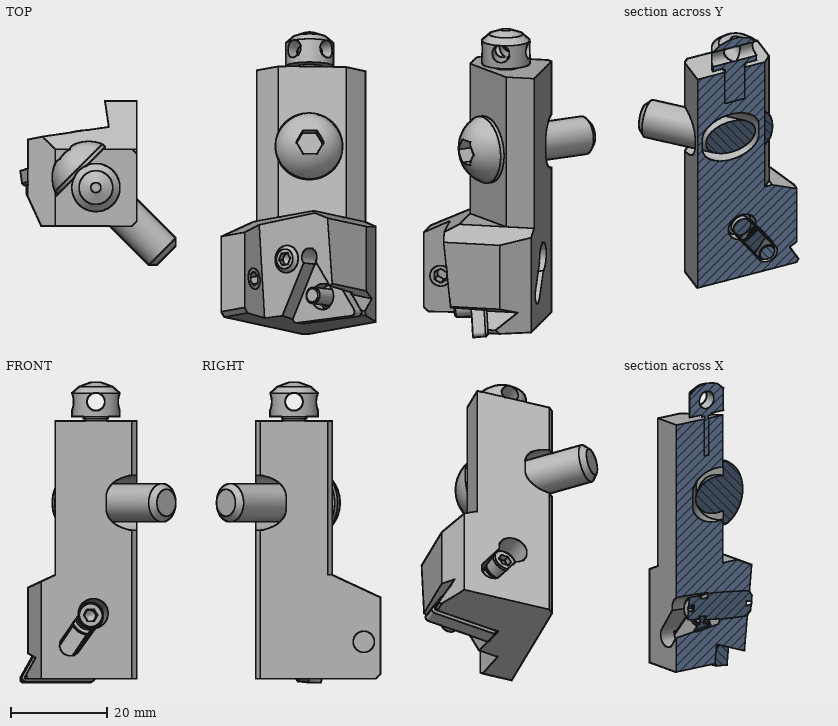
import cadquery as cq
import math


shank_width = 17.0
shank_depth = 16.0
holder_height = 53.6
edge_chamfer = 1.0
shank_flat_start = 6.0
head_height = 21.6
head_slope = 25.0
head_left = -5.65
head_back = 26.0
bevel_front_x = -2.88
bevel_side_y = 6.05
overcut = 30.0

side_rake = 8.7
back_rake = 6.0
tip_corner = (-7.82, 11.26, -0.85)
chip_face_height = 4.25
flange_root = (11.18, 20.56)

inscribed_diameter = 9.525
insert_side = inscribed_diameter * math.sqrt(3)
insert_thickness = 3.18
insert_nose_radius = 0.8
insert_edge_chamfer = 0.5
insert_hole_diameter = 5.4
relief_diameter = 3.7
relief_height = 12.8

notch_top_z = 5.3
notch_root = (-4.05, 4.38)
toe_tip = (-6.02, 0.85)
toe_foot_x = -5.65

insert_center = (insert_side / 2, inscribed_diameter / 2)
bore_center = (13.89, 12.96)
slot_end = (9.18, 6.47)
slot_width = 4.37
bore_diameter = 6.1
lever_width = 4.0
lever_back = 6.0
lever_front = 9.0
tongue_back = 7.0
tongue_front = 8.2
lever_clearance_radius = 3.6
lever_chamfer = 0.3
pin_diameter = 3.4
pin_height = 3.95
pin_chamfer = 0.3
lever_screw_front = 11.5
lever_screw_back = -5.0
lever_screw_thread_diameter = 5.7
lever_screw_head_diameter = 5.4
lever_screw_head_back = 8.4
lever_screw_thread_front = 6.8
lever_screw_neck_diameter = 4.0
lever_screw_chamfer = 0.3
lever_screw_socket = 2.45
lever_screw_socket_depth = 1.3
lever_screw_end_chamfer = 0.8
drill_point_depth = 0.7

bolt_z = 36.6
bolt_diameter = 8.0
bolt_reach = 8.7
bolt_chamfer = 1.2
bolt_head_diameter = 14.0
bolt_head_rim = 0.85
bolt_head_height = 5.1
bolt_head_flat_radius = 2.4
bolt_socket = 5.0
bolt_socket_depth = 3.3
bolt_slot_width = 9.0
bolt_slot_height = 11.5

knob_center = (8.5, 8.0)
knob_radius = 5.0
knob_bottom = 54.5
knob_rim = 59.4
knob_cone_top = 60.75
knob_cone_radius = 3.5
knob_top = 61.66
knob_top_radius = 1.05
knob_neck_radius = 2.3
knob_collar_radius = 2.6
knob_collar_length = 0.4
knob_stem_depth = 8.0
cross_hole_diameter = 3.65
cross_hole_z = 57.6

set_screw_y = 22.5
set_screw_z = 7.7
set_screw_diameter = 4.4
set_screw_socket = 2.6
set_screw_socket_bottom = 14.0

side_rake_slope = math.tan(math.radians(side_rake))
back_rake_slope = math.tan(math.radians(back_rake))
inward = (side_rake_slope, -1.0, back_rake_slope)
along_edge = (1.0, side_rake_slope, 0.0)

depth_edges = cq.selectors.ParallelDirSelector(cq.Vector(*inward))
holder_end = cq.selectors.DirectionMinMaxSelector(cq.Vector(*inward), True)
chip_end = cq.selectors.DirectionMinMaxSelector(cq.Vector(*inward), False)


def insert_plane(depth):
    """Plane parallel to the rake face; local x follows the lower edge, local y points up."""
    frame = cq.Plane(origin=tip_corner, xDir=along_edge, normal=inward)
    return cq.Workplane(frame).workplane(offset=depth)


def insert_prism(points, start, end):
    return insert_plane(start).polyline(points).close().extrude(end - start)


def insert_cylinder(center, diameter, start, end):
    return insert_plane(start).center(*center).circle(diameter / 2).extrude(end - start)


def insert_link(first, second, width, start, end):
    """Obround bar joining two points of the insert frame."""
    dx = second[0] - first[0]
    dy = second[1] - first[1]
    middle = ((first[0] + second[0]) / 2, (first[1] + second[1]) / 2)
    length = math.hypot(dx, dy) + width
    sketch = insert_plane(start).center(*middle)
    return sketch.slot2D(length, width, math.degrees(math.atan2(dy, dx))).extrude(end - start)


def hex_corner_diameter(flats):
    return flats / math.cos(math.pi / 6)


def insert_triangle():
    """Sharp corners of the insert outline."""
    return [(0, 0), (insert_side, 0), (insert_side / 2, insert_side * math.sqrt(3) / 2)]


bolt_seat = ((shank_width - shank_flat_start) / 2, (shank_width + shank_flat_start) / 2, bolt_z)
bolt_plane = cq.Plane(origin=bolt_seat, xDir=(1, 1, 0), normal=(1, -1, 0))
seat_to_corner = math.hypot(shank_width - bolt_seat[0], bolt_seat[1])


def make_shank():
    flat_end_x = shank_depth - shank_flat_start
    shank = cq.Workplane("XY").polyline([
        (0, 0), (shank_width, 0), (shank_width, shank_depth),
        (flat_end_x, shank_depth), (0, shank_flat_start),
    ]).close().extrude(holder_height)
    return shank.edges("|Z and >X").chamfer(edge_chamfer)


def make_head():
    """Head block with sloped shoulders, flange and chip face."""
    bevel_slope = bevel_side_y / (head_left - bevel_front_x)
    block_left = toe_tip[0]
    bevel_end_y = (block_left - bevel_front_x) * bevel_slope
    head = cq.Workplane("XY").polyline([
        (bevel_front_x, 0), (shank_width - edge_chamfer, 0), (shank_width, edge_chamfer),
        (shank_width, head_back), (block_left, head_back), (block_left, bevel_end_y),
    ]).close().extrude(head_height)
    head = head.edges("|X and >Y and <Z").chamfer(edge_chamfer)
    fall = math.tan(math.radians(head_slope))
    left_shoulder = cq.Workplane("XZ").polyline([
        (0, head_height), (-overcut, head_height), (-overcut, head_height - overcut * fall),
    ]).close().extrude(-overcut)
    back_end = shank_depth + overcut
    back_shoulder = cq.Workplane("YZ").workplane(offset=-overcut).polyline([
        (shank_depth, head_height), (back_end, head_height), (back_end, head_height - overcut * fall),
    ]).close().extrude(2 * overcut)
    return head.cut(left_shoulder).cut(back_shoulder).cut(make_chip_space())


def make_chip_space():
    """Space above the chip face, bounded by the flange wall."""
    above_chip_face = insert_plane(-chip_face_height).rect(4 * overcut, 4 * overcut).extrude(-overcut)
    wall_plan = cq.Plane(origin=(*flange_root, 0), xDir=along_edge, normal=(0, 0, 1))
    beside_wall = cq.Workplane(wall_plan).rect(-overcut, 2 * overcut, centered=(False, True))
    return above_chip_face.intersect(beside_wall.extrude(overcut))


def left_side_cut():
    """Everything left of the head's side, notch and toe, running from front to back."""
    far_left = head_left - overcut
    return cq.Workplane("XZ").polyline([
        (far_left, head_height), (head_left, head_height), (head_left, notch_top_z),
        notch_root, toe_tip, (toe_foot_x, 0), (far_left, 0),
    ]).close().extrude(-overcut)


def make_holder_blank():
    return make_shank().union(make_head().cut(left_side_cut()))


def make_holder():
    chip_clear = -2 * chip_face_height
    relief_center = (insert_side / 2, relief_height)
    holder = make_holder_blank()
    holder = holder.cut(insert_prism(insert_triangle(), chip_clear, insert_thickness))
    holder = holder.cut(insert_link(insert_center, bore_center, slot_width, insert_thickness, lever_front))
    holder = holder.cut(insert_link(slot_end, bore_center, slot_width, insert_thickness, overcut))
    holder = holder.cut(insert_cylinder(relief_center, relief_diameter, chip_clear, insert_thickness))
    holder = holder.cut(insert_cylinder(bore_center, bore_diameter, lever_screw_thread_front, overcut))
    thread_hole = insert_cylinder(bore_center, lever_screw_thread_diameter,
                                  chip_clear, lever_screw_thread_front)
    holder = holder.cut(thread_hole)
    bolt_slot = cq.Workplane(bolt_plane).slot2D(bolt_slot_height, bolt_slot_width, 90).extrude(overcut)
    holder = holder.cut(bolt_slot)
    stem_hole = cq.Workplane("XY").workplane(offset=holder_height).center(*knob_center)
    holder = holder.cut(stem_hole.circle(knob_neck_radius).extrude(-knob_stem_depth))
    return holder.cut(set_screw_rod())


def make_insert():
    insert = insert_prism(insert_triangle(), 0, insert_thickness)
    insert = insert.edges(depth_edges).fillet(insert_nose_radius)
    insert = insert.faces(holder_end).edges().chamfer(insert_edge_chamfer)
    return insert.cut(insert_cylinder(insert_center, insert_hole_diameter, 0, insert_thickness))


def make_lever():
    """Arm in the slot with a forked tongue in the screw groove."""
    arm = insert_link(insert_center, bore_center, lever_width, lever_back, lever_front)
    clearance = 2 * lever_clearance_radius
    arm = arm.cut(insert_cylinder(bore_center, clearance, tongue_front, lever_front))
    arm = arm.cut(insert_cylinder(bore_center, clearance, lever_back, tongue_back))
    arm = arm.faces(holder_end).edges().chamfer(lever_chamfer)
    arm = arm.cut(insert_cylinder(bore_center, lever_screw_neck_diameter, lever_back, lever_front))
    arm_rise = bore_center[1] - insert_center[1]
    arm_run = bore_center[0] - insert_center[0]
    arm_angle = math.degrees(math.atan2(arm_rise, arm_run))
    beyond = insert_plane(lever_back).center(*bore_center)
    beyond = beyond.transformed(rotate=(0, 0, arm_angle)).rect(overcut, overcut, centered=(False, True))
    return arm.cut(beyond.extrude(lever_front - lever_back))


def make_locking_pin():
    """Pin standing on the lever arm and passing through the insert."""
    pin = insert_cylinder(insert_center, pin_diameter, -pin_height, lever_back)
    return pin.faces(chip_end).edges().chamfer(pin_chamfer)


def make_lever_screw():
    head = insert_cylinder(bore_center, lever_screw_head_diameter, lever_screw_head_back, lever_screw_front)
    head = head.faces(holder_end).edges().chamfer(lever_screw_chamfer)
    neck = insert_cylinder(bore_center, lever_screw_neck_diameter,
                           lever_screw_thread_front, lever_screw_head_back)
    thread = insert_cylinder(bore_center, lever_screw_thread_diameter,
                             lever_screw_back, lever_screw_thread_front)
    thread = thread.faces(chip_end).edges().chamfer(lever_screw_end_chamfer)
    screw = head.union(neck).union(thread)
    for end, inwards in ((lever_screw_front, -1), (lever_screw_back, 1)):
        screw = screw.cut(screw_socket(end, inwards))
    return screw


def screw_socket(end, inwards):
    """Hexagon socket with a conical bottom, sunk from one end of the lever screw."""
    bottom = end + inwards * lever_screw_socket_depth
    mouth = insert_plane(end).center(*bore_center).polygon(6, hex_corner_diameter(lever_screw_socket))
    hexagon = mouth.extrude(inwards * lever_screw_socket_depth)
    apex_direction = cq.Vector(*inward) * inwards
    base_center = insert_plane(bottom).center(*bore_center).plane.origin
    cone = cq.Solid.makeCone(lever_screw_socket / 2, 0, drill_point_depth, base_center, apex_direction)
    return hexagon.union(cq.Workplane(cone))


def make_clamp_bolt():
    head_radius = bolt_head_diameter / 2
    crown = bolt_head_height
    numerator = head_radius ** 2 + bolt_head_rim ** 2 - bolt_head_flat_radius ** 2 - crown ** 2
    sink = numerator / (2 * (crown - bolt_head_rim))
    dome_radius = math.hypot(head_radius, bolt_head_rim + sink)
    rim_angle = math.atan2(bolt_head_rim + sink, head_radius)
    flat_angle = math.atan2(crown + sink, bolt_head_flat_radius)
    middle = (rim_angle + flat_angle) / 2
    dome_middle = (dome_radius * math.cos(middle), dome_radius * math.sin(middle) - sink)
    shaft_radius = bolt_diameter / 2
    tip = seat_to_corner + bolt_reach
    profile_plane = cq.Plane(origin=bolt_seat, xDir=(1, 1, 0), normal=(0, 0, 1))
    profile = (
        cq.Workplane(profile_plane)
        .moveTo(0, crown).lineTo(bolt_head_flat_radius, crown)
        .threePointArc(dome_middle, (head_radius, bolt_head_rim))
        .lineTo(head_radius, 0).lineTo(shaft_radius, 0)
        .lineTo(shaft_radius, bolt_chamfer - tip).lineTo(shaft_radius - bolt_chamfer, -tip)
        .lineTo(0, -tip).close()
    )
    bolt = profile.revolve(360, (0, 0, 0), (0, 1, 0))
    socket = cq.Workplane(bolt_plane).workplane(offset=-bolt_head_height)
    return bolt.cut(socket.polygon(6, hex_corner_diameter(bolt_socket)).extrude(bolt_socket_depth))


def make_adjusting_screw():
    collar_bottom = knob_bottom - knob_collar_length
    screw = cq.Workplane("XZ").polyline([
        (0, holder_height - knob_stem_depth), (knob_neck_radius, holder_height - knob_stem_depth),
        (knob_neck_radius, collar_bottom), (knob_collar_radius, collar_bottom),
        (knob_collar_radius, knob_bottom), (knob_radius, knob_bottom), (knob_radius, knob_rim),
        (knob_cone_radius, knob_cone_top), (knob_top_radius, knob_top), (0, knob_top),
    ]).close().revolve(360, (0, 0, 0), (0, 1, 0))
    for wall in ("XZ", "YZ"):
        cross_hole = cq.Workplane(wall).center(0, cross_hole_z).circle(cross_hole_diameter / 2)
        screw = screw.cut(cross_hole.extrude(2 * knob_radius, both=True))
    return screw.translate((*knob_center, 0))


def set_screw_rod():
    """Rod through the flange, from the chip space to the right face."""
    rod = cq.Workplane("YZ").center(set_screw_y, set_screw_z).circle(set_screw_diameter / 2)
    return rod.extrude(shank_width)


def make_set_screw():
    """Ends flush with both faces of the flange."""
    screw = set_screw_rod().intersect(make_holder_blank())
    socket = cq.Workplane("YZ").center(set_screw_y, set_screw_z).transformed(rotate=(0, 0, 90))
    socket = socket.polygon(6, hex_corner_diameter(set_screw_socket))
    return screw.cut(socket.extrude(set_screw_socket_bottom))


holder = make_holder()
insert = make_insert()
lever = make_lever()
locking_pin = make_locking_pin()
lever_screw = make_lever_screw()
clamp_bolt = make_clamp_bolt()
adjusting_screw = make_adjusting_screw()
set_screw = make_set_screw()

result = cq.Compound.makeCompound([
    holder.val(), insert.val(), lever.val(), locking_pin.val(),
    lever_screw.val(), clamp_bolt.val(), adjusting_screw.val(), set_screw.val(),
])